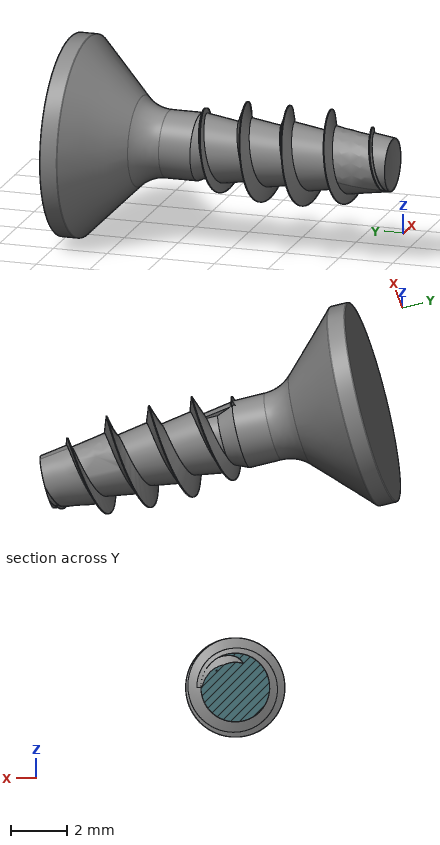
import cadquery as cq
import math

length = 12.0
head_radius = 3.65
rim_height = 0.65
rim_rounding = 0.04
shank_radius = 1.22
neck_fillet = 1.44
shank_end = 7.16

pitch = 1.56
land_radius = 1.22
land_slope = 0.16
land_gap = 0.15
core_radius = 0.96
buried_radius = 0.9
tip_cone_height = 1.8
dish_radius = 0.91
dish_depth = 0.05
collar_height = 0.61

crest_radius = 1.76
crest_half_width = 0.018
flank_slope = 0.36
plus_x_height = 1.19
start_height = 0.18
full_start = 2.23
full_end = 5.52
run_out_slope = 0.24
whole_turns = 4
thread_turns = whole_turns + (plus_x_height - start_height) / pitch
land_start_turn = -0.9
flattened_turns = 0.25
flattened_lead = 0.4
samples_per_turn = 20


def revolved(profile):
    return profile.close().revolve(360, (0, 0, 0), (0, 1, 0))


def make_head_and_shank():
    rim_bottom = length - rim_height
    diagonal = math.sqrt(0.5)
    cone_end_radius = shank_radius + neck_fillet * (1 - diagonal)
    cone_end = rim_bottom - (head_radius - cone_end_radius)
    neck_end = cone_end - neck_fillet * diagonal
    arc_middle = math.pi / 8
    profile = (
        cq.Workplane("XY")
        .moveTo(0, shank_end)
        .lineTo(shank_radius, shank_end)
        .lineTo(shank_radius, neck_end)
        .threePointArc(
            (
                shank_radius + neck_fillet * (1 - math.cos(arc_middle)),
                neck_end + neck_fillet * math.sin(arc_middle),
            ),
            (cone_end_radius, cone_end),
        )
        .lineTo(head_radius, rim_bottom)
        .lineTo(head_radius, length)
        .lineTo(0, length)
    )
    rim_edges = cq.selectors.BoxSelector(
        (-length, rim_bottom - rim_rounding, -length),
        (length, length + rim_rounding, length),
    )
    return revolved(profile).edges("%CIRCLE").edges(rim_edges).fillet(rim_rounding)


def section_corner(radius, height, turn):
    """Point on the helical sections, at a number of turns from the start of the thread."""
    angle = 2 * math.pi * (turn + (start_height - plus_x_height) / pitch)
    return cq.Vector(radius * math.cos(angle), height, -radius * math.sin(angle))


def helical_solid(section_at, first_turn, last_turn):
    """Solid through the four-cornered sections given by section_at(turn)."""
    turns = last_turn - first_turn
    steps = round(turns * samples_per_turn)
    sections = [section_at(first_turn + turns * i / steps) for i in range(steps + 1)]
    rails = [cq.Edge.makeSpline(list(points)) for points in zip(*sections)]
    faces = [cq.Face.makeRuledSurface(rails[i - 1], rails[i]) for i in range(len(rails))]
    for section in (sections[0], sections[-1]):
        faces.append(cq.Face.makeFromWires(cq.Wire.makePolygon(section, close=True)))
    return cq.Workplane(cq.Solid.makeSolid(cq.Shell.makeShell(faces)))


def land_section(turn):
    crest_height = start_height + pitch * turn
    top = crest_height - land_gap / 2
    bottom = crest_height - pitch + land_gap / 2
    return [
        section_corner(buried_radius, bottom, turn),
        section_corner(land_radius - land_slope * (top - bottom), bottom, turn),
        section_corner(land_radius, top, turn),
        section_corner(buried_radius, top, turn),
    ]


def make_core():
    rod = cq.Workplane("XZ").circle(core_radius).extrude(-shank_end)
    land = helical_solid(land_section, land_start_turn, thread_turns)
    envelope = revolved(
        cq.Workplane("XY")
        .lineTo(core_radius, 0)
        .lineTo(land_radius, tip_cone_height)
        .lineTo(land_radius, shank_end)
        .lineTo(0, shank_end)
    )
    collar_start = shank_end - collar_height
    collar = revolved(
        cq.Workplane("XY")
        .moveTo(0, collar_start)
        .lineTo(core_radius, collar_start)
        .lineTo(shank_radius, shank_end)
        .lineTo(0, shank_end)
    )
    return rod.union(land.intersect(envelope)).union(collar)


def thread_section(turn):
    """Four corners of the thread profile after a number of turns from the tip."""
    height = start_height + pitch * turn
    flattened = max(0, turn - (thread_turns - flattened_turns))
    height -= pitch * flattened * (1 - flattened_lead)
    run_in = (crest_radius - core_radius) * (1 - height / full_start)
    run_out = run_out_slope * (height - full_end)
    radius = crest_radius - max(0, run_in, run_out)
    root_half_width = crest_half_width + flank_slope * (radius - buried_radius)
    return [
        section_corner(buried_radius, height - root_half_width, turn),
        section_corner(radius, height - crest_half_width, turn),
        section_corner(radius, height + crest_half_width, turn),
        section_corner(buried_radius, height + root_half_width, turn),
    ]


def make_tip_dish():
    sphere_radius = (dish_radius**2 + dish_depth**2) / (2 * dish_depth)
    half_angle = math.asin(dish_radius / sphere_radius) / 2
    return revolved(
        cq.Workplane("XY")
        .moveTo(0, -dish_depth)
        .lineTo(dish_radius, -dish_depth)
        .lineTo(dish_radius, 0)
        .threePointArc(
            (sphere_radius * math.sin(half_angle), dish_depth - sphere_radius * (1 - math.cos(half_angle))),
            (0, dish_depth),
        )
    )


thread = helical_solid(thread_section, 0, thread_turns)
result = make_core().union(thread).union(make_head_and_shank()).cut(make_tip_dish())